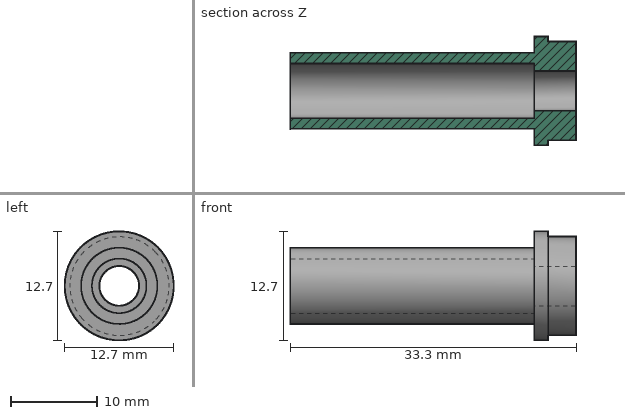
import cadquery as cq

total_length = 33.27
head_length = 3.25
flange_thickness = 1.63
tube_length = total_length - head_length - flange_thickness

tube_diameter = 8.88
flange_diameter = 12.7
head_diameter = 11.5
bore_diameter = 6.35
outlet_diameter = 4.6


def cylinder(start, length, diameter):
    """Solid cylinder along +X, beginning at x = start."""
    return cq.Workplane("YZ", origin=(start, 0, 0)).circle(diameter / 2).extrude(length)


tube = cylinder(0, tube_length, tube_diameter)
flange = cylinder(tube_length, flange_thickness, flange_diameter)
head = cylinder(tube_length + flange_thickness, head_length, head_diameter)
body = tube.union(flange).union(head)

bore = cylinder(0, tube_length, bore_diameter)
outlet = cylinder(0, total_length, outlet_diameter)

result = body.cut(bore).cut(outlet)